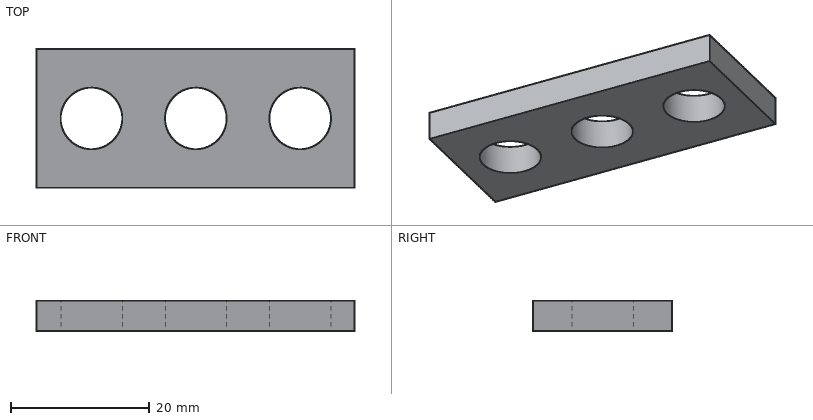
import cadquery as cq

length = 45.95
width = 20.1
thickness = 4.4

hole_diameter = 8.85
hole_pitch = 15.1
hole_count = 3
row_offset = 0.05

plate = cq.Workplane("XY").box(length, width, thickness)

result = (
    plate.faces(">Z")
    .workplane()
    .center(row_offset, 0)
    .rarray(hole_pitch, width, hole_count, 1)
    .hole(hole_diameter)
)